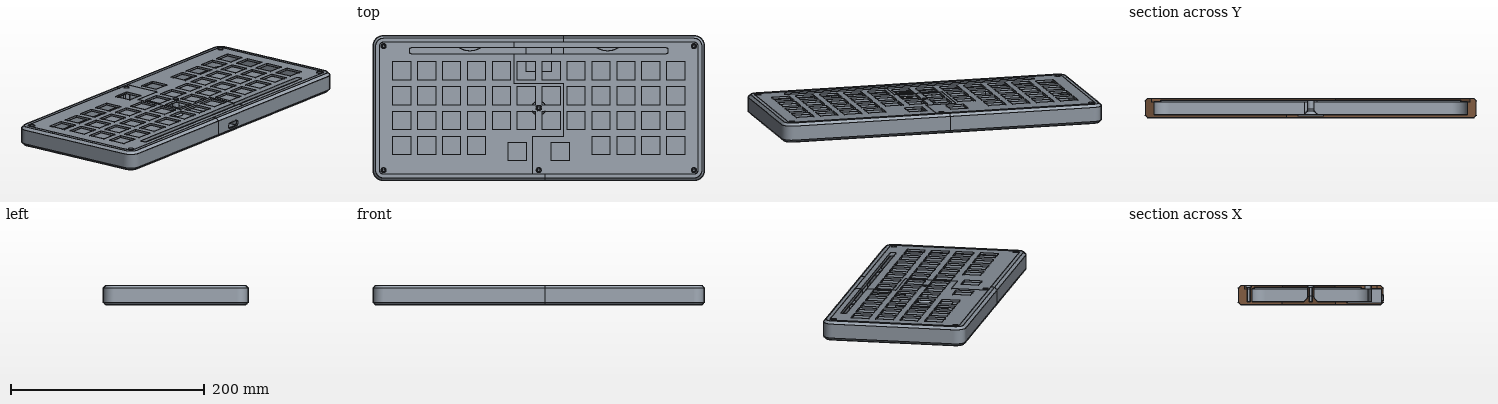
import cadquery as cq
case_length = 342.05
case_width = 149.63
case_height = 20.24
case_corner_radius = 10.75
edge_chamfer = 2.7

plate_thickness = 3.7
key_web_thickness = 2.02
rim_width = 6.75
plate_length = case_length - 2 * rim_width
plate_width = case_width - 2 * rim_width
plate_corner_radius = case_corner_radius - rim_width
plate_bottom = case_height - plate_thickness

side_wall_thickness = 9.0
end_wall_thickness = 12.0
floor_thickness = 3.37
cavity_length = case_length - 2 * side_wall_thickness
cavity_width = case_width - 2 * end_wall_thickness
cavity_height = plate_bottom - floor_thickness
cavity_corner_radius = 15.5

key_pitch = 25.7
key_size = 18.8
key_columns = 12
key_rows = 4
end_columns = 4
thumb_key_x = 22.15
thumb_key_y = -44.8
key_relief_margin = 4.0

slot_length = 267.0
slot_width = 6.2
slot_y = 59.2
slot_corner_radius = 2.0

screw_x = 160.1
screw_y = 64.0
head_recess_diameter = 5.2
head_recess_depth = 2.02
screw_hole_diameter = 2.8
post_diameter = 6.8
post_flare = 3.9
post_top = 9.0

bump_radius = 19.9
bump_x = 71.0
bump_y = 79.0

pocket_width = 25.8
pocket_front_y = 37.6
pocket_floor_depth = 1.35
port_wall = 2.02
port_width = 16.0
port_height = 6.0
port_z = 7.4

seam_step_x = 25.4
seam_end_x = 6.7
seam_back_y = 25.5
seam_front_y = -29.4


def corner_points(x, y):
    return [(sx * x, sy * y) for sx in (-1, 1) for sy in (-1, 1)]


def rounded_block(length, width, height, radius, base_z):
    block = cq.Workplane("XY", origin=(0, 0, base_z)).rect(length, width).extrude(height)
    return block.edges("|Z").fillet(radius)


def key_centres():
    centres = [(-thumb_key_x, thumb_key_y), (thumb_key_x, thumb_key_y)]
    for row in range(key_rows):
        for column in range(key_columns):
            in_end_group = column < end_columns or column >= key_columns - end_columns
            if row < key_rows - 1 or in_end_group:
                x = (column - (key_columns - 1) / 2) * key_pitch
                y = ((key_rows - 1) / 2 - row) * key_pitch
                centres.append((x, y))
    return centres


screw_centres = [(0, 0), (0, -screw_y)] + corner_points(screw_x, screw_y)


def left_region(mirror):
    """Prism covering everything left of the stepped seam; mirror = -1 flips the steps in X."""
    far_x = -case_length
    far_y = case_width
    outline = [
        (far_x, far_y),
        (-mirror * seam_step_x, far_y),
        (-mirror * seam_step_x, seam_back_y),
        (mirror * seam_step_x, seam_back_y),
        (mirror * seam_step_x, seam_front_y),
        (-mirror * seam_end_x, seam_front_y),
        (-mirror * seam_end_x, -far_y),
        (far_x, -far_y),
    ]
    return cq.Workplane("XY").polyline(outline).close().extrude(case_height)


def split_halves(body, mirror):
    region = left_region(mirror)
    return body.intersect(region), body.cut(region)


def make_screw_holes():
    """Screw clearance with a wider head recess at the top, open down to the floor."""
    shank = (
        cq.Workplane("XY", origin=(0, 0, floor_thickness))
        .pushPoints(screw_centres)
        .circle(screw_hole_diameter / 2)
        .extrude(case_height - floor_thickness)
    )
    head = (
        cq.Workplane("XY", origin=(0, 0, case_height - head_recess_depth))
        .pushPoints(screw_centres)
        .circle(head_recess_diameter / 2)
        .extrude(head_recess_depth)
    )
    return shank.union(head)


def make_key_relief():
    """Pocket in the underside that thins the plate around the keys."""
    reach_x = (key_columns - 1) / 2 * key_pitch + key_size / 2 + key_relief_margin
    back_y = (key_rows - 1) / 2 * key_pitch + key_size / 2 + key_relief_margin
    front_y = thumb_key_y - key_size / 2 - key_relief_margin
    relief = cq.Workplane("XY", origin=(0, (back_y + front_y) / 2, plate_bottom))
    return relief.rect(2 * reach_x, back_y - front_y).extrude(plate_thickness - key_web_thickness)


def make_plate():
    plate = rounded_block(plate_length, plate_width, plate_thickness, plate_corner_radius, plate_bottom)
    plate = plate.cut(make_key_relief())
    boss = (
        cq.Workplane("XY", origin=(0, 0, post_top))
        .circle(post_diameter / 2)
        .extrude(case_height - post_top)
    )
    openings = (
        cq.Workplane("XY", origin=(0, 0, plate_bottom))
        .pushPoints(key_centres())
        .rect(key_size, key_size)
        .extrude(plate_thickness)
    )
    slot = rounded_block(slot_length, slot_width, plate_thickness, slot_corner_radius, plate_bottom)
    return plate.cut(openings).cut(slot.translate((0, slot_y, 0))).union(boss).cut(make_screw_holes())


def make_cavity():
    cavity = cq.Workplane("XY", origin=(0, 0, floor_thickness)).rect(cavity_length, cavity_width)
    return cavity.extrude(cavity_height).edges("|Z").fillet(cavity_corner_radius)


def make_centre_post():
    """Post standing on the floor, with a conical foot."""
    radius = post_diameter / 2
    outline = [
        (0, floor_thickness),
        (radius + post_flare, floor_thickness),
        (radius, floor_thickness + post_flare),
        (radius, post_top),
        (0, post_top),
    ]
    return cq.Workplane("XZ").polyline(outline).close().revolve(360, (0, 0, 0), (0, 1, 0))


def make_front_boss():
    """Full-height boss that thickens the front wall round its screw hole."""
    boss = cq.Workplane("XY", origin=(0, -screw_y, floor_thickness))
    return boss.circle(post_diameter / 2).extrude(cavity_height)


def make_bump(x):
    """Rounded bulge on the inside of the back wall, trimmed to stay inside the case."""
    bump = cq.Workplane("XY", origin=(x, bump_y, floor_thickness)).circle(bump_radius).extrude(cavity_height)
    inside = rounded_block(plate_length, plate_width, cavity_height, plate_corner_radius, floor_thickness)
    return bump.intersect(inside)


def make_connector_pocket():
    """Pocket in the floor and back wall, with a rounded port through the remaining wall."""
    back_y = case_width / 2 - port_wall
    pocket_bottom = floor_thickness - pocket_floor_depth
    pocket = cq.Workplane("XY").box(
        pocket_width,
        back_y - pocket_front_y,
        plate_bottom - pocket_bottom,
        centered=(True, False, False),
    )
    port = (
        cq.Workplane("XZ", origin=(0, case_width / 2, port_z))
        .slot2D(port_width, port_height)
        .extrude(2 * port_wall)
    )
    return pocket.translate((0, pocket_front_y, pocket_bottom)).union(port)


def make_case():
    case = rounded_block(case_length, case_width, case_height, case_corner_radius, 0)
    case = case.faces("<Z or >Z").edges().chamfer(edge_chamfer)
    case = case.cut(rounded_block(plate_length, plate_width, plate_thickness, plate_corner_radius, plate_bottom))
    case = case.cut(make_cavity())
    case = case.union(make_centre_post()).union(make_front_boss())
    for side in (-1, 1):
        case = case.union(make_bump(side * bump_x))
    case = case.cut(make_connector_pocket())
    return case.cut(make_screw_holes())


plate_left, plate_right = split_halves(make_plate(), 1)
case_left, case_right = split_halves(make_case(), -1)

result = cq.Compound.makeCompound(
    [case_left.val(), case_right.val(), plate_left.val(), plate_right.val()]
)